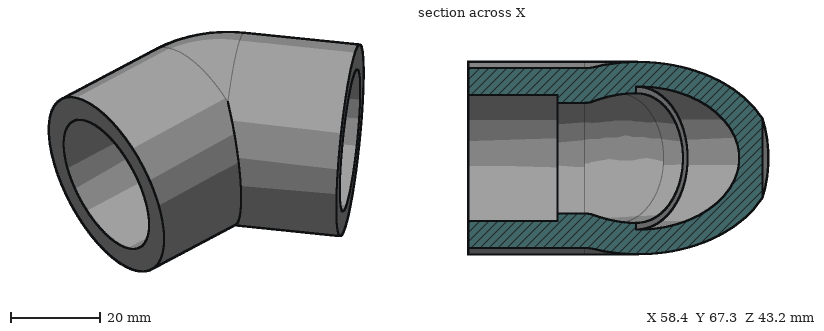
import cadquery as cq
import math

bend_angle = 45.0
overall_length = 67.35
outer_diameter = 43.2
bore_diameter = 29.0
socket_diameter = 32.0
bend_radius = 10.5
socket_floor = 6.1

bend = math.radians(bend_angle)
mitre_slope = math.tan(bend / 2)
outer_reach = bend_radius + outer_diameter / 2
leg_length = (overall_length - outer_reach * math.sin(bend)) / (1 + math.cos(bend))


def second_end(first_end):
    """Half turn about the mitre line, carrying the first leg onto the second."""
    return first_end.rotate((0, 0, 0), (1, -mitre_slope, 0), 180)


def leg(diameter):
    """First leg: square end outside the bend axis, mitred end inside it."""
    cylinder = (
        cq.Workplane("XZ", origin=(-bend_radius, -leg_length, 0))
        .circle(diameter / 2)
        .extrude(-leg_length)
    )
    trim = (
        cq.Workplane("XY")
        .moveTo(-outer_diameter, 0)
        .lineTo(0, 0)
        .lineTo(outer_diameter, -outer_diameter * mitre_slope)
        .lineTo(outer_diameter, -overall_length)
        .lineTo(-outer_diameter, -overall_length)
        .close()
        .extrude(outer_diameter, both=True)
    )
    return cylinder.intersect(trim)


def bend_body(diameter):
    """Part of the round section outside the bend axis, turned about that axis."""
    radius = diameter / 2
    half_chord = math.sqrt(radius**2 - bend_radius**2)
    return (
        cq.Workplane("XZ")
        .moveTo(0, -half_chord)
        .threePointArc((-bend_radius - radius, 0), (0, half_chord))
        .close()
        .revolve(bend_angle, (0, 0, 0), (0, -1, 0))
    )


def elbow(diameter):
    first_leg = leg(diameter)
    return first_leg.union(bend_body(diameter)).union(second_end(first_leg))


socket = (
    cq.Workplane("XZ", origin=(-bend_radius, -leg_length, 0))
    .circle(socket_diameter / 2)
    .extrude(socket_floor - leg_length)
)

result = elbow(outer_diameter).cut(elbow(bore_diameter))
for socket_cut in (socket, second_end(socket)):
    result = result.cut(socket_cut)